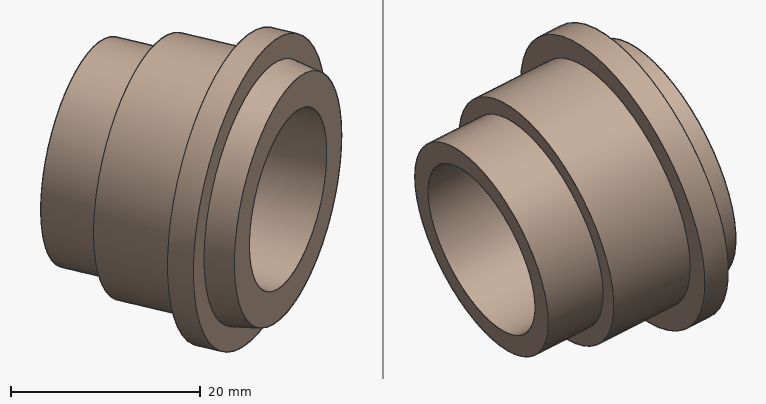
import cadquery as cq

spigot_length = 7.0
body_length = 9.75
flange_length = 3.0
nose_length = 3.25
total_length = spigot_length + body_length + flange_length + nose_length

spigot_diameter = 25.0
body_diameter = 29.0
flange_diameter = 34.5
nose_tip_diameter = 27.85
bore_diameter = 20.0

yz_plane = cq.Workplane("YZ")
spigot = yz_plane.circle(spigot_diameter / 2).extrude(spigot_length)
body = spigot.faces(">X").workplane().circle(body_diameter / 2).extrude(body_length)
flange = body.faces(">X").workplane().circle(flange_diameter / 2).extrude(flange_length)

outside = (
    flange.faces(">X").workplane()
    .circle(body_diameter / 2)
    .workplane(offset=nose_length)
    .circle(nose_tip_diameter / 2)
    .loft(combine=True)
)

bore = yz_plane.circle(bore_diameter / 2).extrude(total_length)

result = outside.cut(bore)